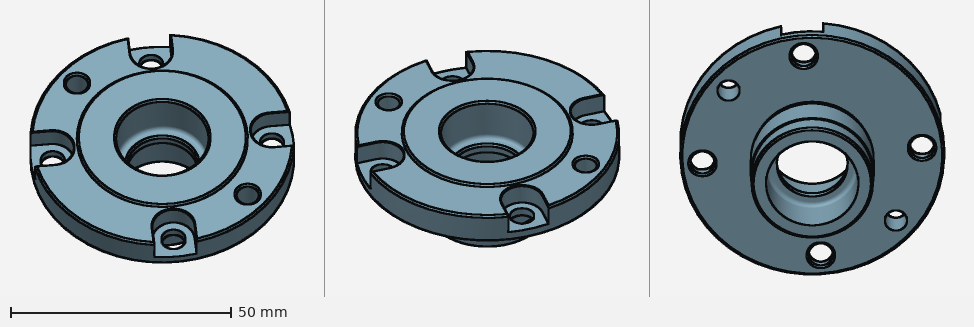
import cadquery as cq

total_height = 23.0
boss_height = 0.5
flange_thickness = 7.5
neck_height = 1.5
lower_hub_height = 5.0
flange_top = total_height - boss_height
flange_bottom = flange_top - flange_thickness
journal_top = flange_bottom - neck_height

flange_radius = 30
boss_radius = 19.45
neck_radius = 13.5
journal_radius = 14.0
lower_hub_radius = 13.8
edge_chamfer = 0.5

bore_radius = 10.5
upper_bore_depth = 10.5
bore_floor_fillet = 1.0
lip_radius = 8.05
lower_bore_depth = 10.25

bolt_circle_radius = 25.0
dowel_hole_radius = 2.5
screw_hole_radius = 2.75
screw_angles = (45, 135, 225, 315)
dowel_angles = (0, 180)

pocket_radius = 4.8
pocket_depth = 5.0
pocket_edge_chamfer = 0.2
chamfer_angle = 45


def frustum(top_radius, bottom_radius, top_z, height):
    """Solid cone section on the Z axis, hanging down from top_z."""
    profile = [(0, top_z), (top_radius, top_z), (bottom_radius, top_z - height), (0, top_z - height)]
    return cq.Workplane("XZ").polyline(profile).close().revolve(360, (0, 0), (0, 1))


def turned_body():
    """Flange, raised boss, relief neck and two-step hub in one revolved profile."""
    c = edge_chamfer
    lower_step = journal_radius - lower_hub_radius
    upper_step = journal_radius - neck_radius
    profile = [
        (0, 0),
        (lower_hub_radius - c, 0),
        (lower_hub_radius, c),
        (lower_hub_radius, lower_hub_height),
        (journal_radius, lower_hub_height + lower_step),
        (journal_radius, journal_top - upper_step),
        (neck_radius, journal_top),
        (neck_radius, flange_bottom),
        (flange_radius - c, flange_bottom),
        (flange_radius, flange_bottom + c),
        (flange_radius, flange_top - c),
        (flange_radius - c, flange_top),
        (boss_radius, flange_top),
        (boss_radius - c, total_height),
        (0, total_height),
    ]
    return cq.Workplane("XZ").polyline(profile).close().revolve(360, (0, 0), (0, 1))


def bore(depth):
    """Cutter for a blind bore that rises from z = 0 and ends in a filleted floor at z = depth."""
    return cq.Workplane("XY").circle(bore_radius).extrude(depth).faces(">Z").edges().fillet(bore_floor_fillet)


def stepped_bore():
    """Cutter for the two facing bores and the chamfered hole through the lip between them."""
    upper_bore = bore(upper_bore_depth).rotate((0, 0, 0), (1, 0, 0), 180).translate((0, 0, total_height))
    lower_bore = bore(lower_bore_depth)
    lip_hole = cq.Workplane("XY").circle(lip_radius).extrude(total_height)
    mouth = frustum(bore_radius + edge_chamfer, bore_radius, total_height, edge_chamfer)
    lip_top = total_height - upper_bore_depth
    lip_rim = frustum(lip_radius + edge_chamfer, lip_radius, lip_top, edge_chamfer)
    return upper_bore.union(lower_bore).union(lip_hole).union(mouth).union(lip_rim)


def dowel_hole(angle):
    """Cutter for one through hole with a chamfered upper rim."""
    rim = frustum(dowel_hole_radius + edge_chamfer, dowel_hole_radius, flange_top, edge_chamfer)
    hole = cq.Workplane("XY").circle(dowel_hole_radius).extrude(flange_top).union(rim)
    return hole.translate((bolt_circle_radius, 0, 0)).rotate((0, 0, 0), (0, 0, 1), angle)


def pocket_outline(radius, z):
    """Round-ended pocket outline that runs outward past the flange rim along +X."""
    outer_x = flange_radius + pocket_radius
    return (
        cq.Workplane("XY", origin=(0, 0, z))
        .moveTo(outer_x, radius)
        .lineTo(bolt_circle_radius, radius)
        .threePointArc((bolt_circle_radius - radius, 0), (bolt_circle_radius, -radius))
        .lineTo(outer_x, -radius)
        .close()
    )


def screw_pocket(angle):
    """Cutter for one rim pocket with a chamfered upper edge and its screw hole, chamfered at its lower end."""
    pocket = pocket_outline(pocket_radius, flange_top - pocket_depth).extrude(pocket_depth)
    upper_rim = pocket_outline(pocket_radius + pocket_edge_chamfer, flange_top)
    upper_rim = upper_rim.extrude(-pocket_edge_chamfer, taper=chamfer_angle)
    hole = cq.Workplane("XY").center(bolt_circle_radius, 0).circle(screw_hole_radius).extrude(flange_top)
    rim_radius = screw_hole_radius + edge_chamfer
    lower_rim = frustum(screw_hole_radius, rim_radius, flange_bottom + edge_chamfer, edge_chamfer)
    hole = hole.union(lower_rim.translate((bolt_circle_radius, 0, 0)))
    return pocket.union(upper_rim).union(hole).rotate((0, 0, 0), (0, 0, 1), angle)


result = turned_body().cut(stepped_bore())

for angle in dowel_angles:
    result = result.cut(dowel_hole(angle))

for angle in screw_angles:
    result = result.cut(screw_pocket(angle))